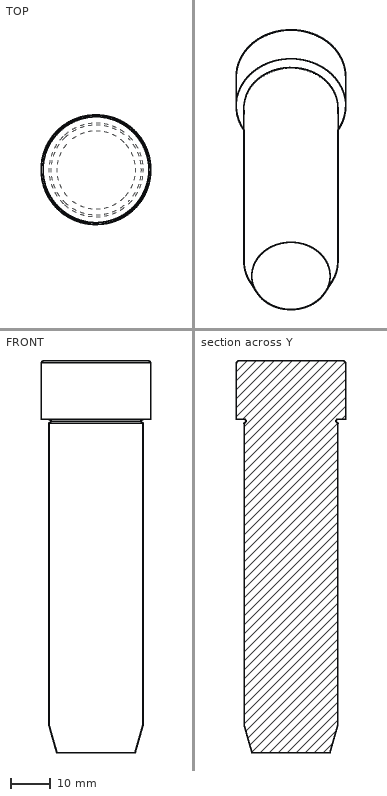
import cadquery as cq
import math

total_length = 100.0
head_diameter = 28.0
head_height = 15.0
shank_diameter = 24.0

head_chamfer = 0.5

groove_width = 1.0
groove_depth = 0.5
groove_fillet = 0.5

tip_diameter = 20.0
tip_length = 7.0

head_radius = head_diameter / 2
shank_radius = shank_diameter / 2
head_bottom = total_length - head_height


def make_shank():
    """Shank with its conical tip, standing on the XY plane."""
    profile = (
        cq.Workplane("XZ")
        .lineTo(tip_diameter / 2, 0)
        .lineTo(shank_radius, tip_length)
        .lineTo(shank_radius, head_bottom)
        .lineTo(0, head_bottom)
        .close()
    )
    return profile.revolve(360, (0, 0, 0), (0, 1, 0))


def make_head():
    """Cylindrical head with a chamfered top edge."""
    head = cq.Workplane("XY").workplane(offset=head_bottom).circle(head_radius).extrude(head_height)
    return head.faces(">Z").edges().chamfer(head_chamfer)


def make_groove():
    """Ring removed from the shank: a fillet under the head, then a cone back out to the shank."""
    floor_radius = shank_radius - groove_depth
    floor_height = head_bottom - groove_fillet
    fillet_center_radius = floor_radius + groove_fillet
    arc_offset = groove_fillet * math.sqrt(0.5)
    profile = (
        cq.Workplane("XZ")
        .moveTo(shank_radius, head_bottom - groove_width)
        .lineTo(floor_radius, floor_height)
        .threePointArc(
            (fillet_center_radius - arc_offset, floor_height + arc_offset),
            (fillet_center_radius, head_bottom),
        )
        .close()
    )
    return profile.revolve(360, (0, 0, 0), (0, 1, 0))


result = make_shank().cut(make_groove()).union(make_head())